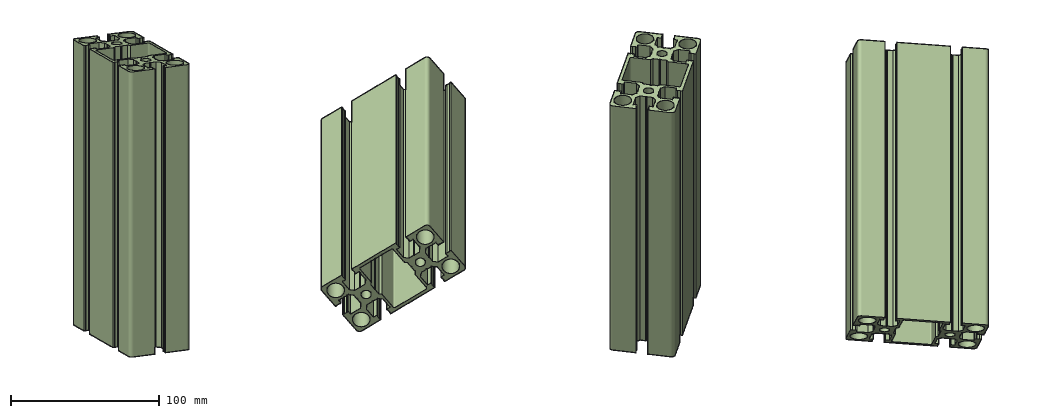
import cadquery as cq

width = 90.0
depth = 45.0
length = 200.0
corner_radius = 2.5

module = depth
core_x = (width - module) / 2
core_half = 7.2
core_bore_diameter = 6.8

slot_opening = 8.2
slot_inner_width = 13.8
slot_depth = module / 2 - core_half
lip_thickness = 4.5
slot_floor_chamfer = 2.5
lip_groove_depth = 0.2
lip_groove_width = 2.0
centre_mark_depth = 0.5
centre_mark_width = 1.0

corner_bore_diameter = 11.8
corner_bore_inset = 7.8

outer_wall = 2.5
web_thickness = 1.8
cavity_radius = 1.0
recess_width = 9.2


def prism(points):
    """Cutter with the given outline, running the full length of the profile."""
    return cq.Workplane("XY").polyline(points).close().extrude(length)


def box(x_size, y_size, x, y):
    """Full-length rectangular cutter centred at (x, y)."""
    return cq.Workplane("XY").center(x, y).rect(x_size, y_size).extrude(length)


def slot_cutter():
    """T-slot opening towards +Y, with its mouth on the X axis."""
    opening = slot_opening / 2
    inner = slot_inner_width / 2
    groove = opening + lip_groove_depth
    groove_top = -(lip_thickness - lip_groove_width) / 2
    groove_bottom = groove_top - lip_groove_width
    right_side = [
        (opening, 0),
        (opening, groove_top),
        (groove, groove_top),
        (groove, groove_bottom),
        (opening, groove_bottom),
        (opening, -lip_thickness),
        (inner, -lip_thickness),
        (inner, -slot_depth + slot_floor_chamfer),
        (inner - slot_floor_chamfer, -slot_depth),
        (centre_mark_width / 2, -slot_depth),
    ]
    mark_tip = (0, -slot_depth - centre_mark_depth)
    left_side = [(-x, y) for x, y in reversed(right_side)]
    return prism(right_side + [mark_tip] + left_side)


def place_slot(angle, x, y):
    """T-slot cutter turned by the angle, with its mouth at (x, y)."""
    return slot_cutter().rotate((0, 0, 0), (0, 0, 1), angle).translate((x, y, 0))


def cavity_cutter():
    """Central cavity, with a shallow recess and centre mark facing each core."""
    wall_x = core_x - slot_inner_width / 2 - web_thickness
    recess_x = core_x - core_half
    chamfer = recess_x - wall_x
    half = recess_width / 2
    cavity = box(2 * wall_x, depth - 2 * outer_wall, 0, 0).edges("|Z").fillet(cavity_radius)
    for side in (-1, 1):
        recess = [
            (0, half + chamfer),
            (wall_x, half + chamfer),
            (recess_x, half),
            (recess_x, centre_mark_width / 2),
            (recess_x + centre_mark_depth, 0),
            (recess_x, -centre_mark_width / 2),
            (recess_x, -half),
            (wall_x, -half - chamfer),
            (0, -half - chamfer),
        ]
        cavity = cavity.union(prism([(side * x, y) for x, y in recess]))
    return cavity


body = box(width, depth, 0, 0).edges("|Z").fillet(corner_radius)

for side in (-1, 1):
    body = body.cut(place_slot(0, side * core_x, depth / 2))
    body = body.cut(place_slot(180, side * core_x, -depth / 2))
    body = body.cut(place_slot(-90 * side, side * width / 2, 0))

body = body.cut(cavity_cutter())

core_bores = cq.Workplane("XY").pushPoints([(-core_x, 0), (core_x, 0)])
body = body.cut(core_bores.circle(core_bore_diameter / 2).extrude(length))

bore_spacing_x = width - 2 * corner_bore_inset
bore_spacing_y = depth - 2 * corner_bore_inset
corner_bores = cq.Workplane("XY").rarray(bore_spacing_x, bore_spacing_y, 2, 2)
body = body.cut(corner_bores.circle(corner_bore_diameter / 2).extrude(length))

result = body